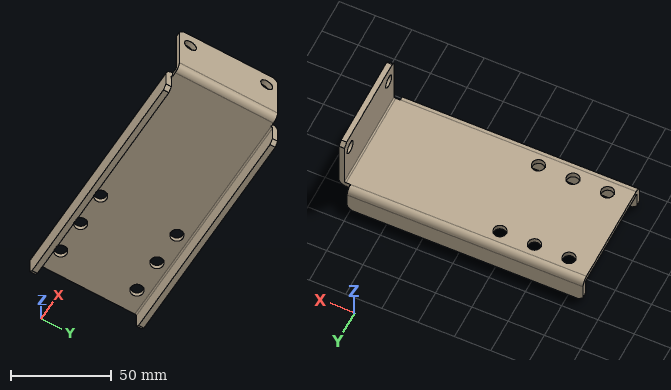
import cadquery as cq

overall_length = 136.53
overall_width = 65.3
overall_height = 47.19

thickness = 3.175
inner_radius = 0.79375
outer_radius = inner_radius + thickness

flange_drop = 15.875
flange_setback = 6.35
flange_length = overall_length - flange_setback
flange_chamfer = 2.38125

tab_width = overall_width - 2 * outer_radius
tab_height = overall_height - flange_drop
tab_chamfer = 2.38125

hole_diameter = 6.91
hole_row_spacing = 44.45
plate_hole_start = 12.7
plate_hole_pitch = 19.05
plate_hole_columns = 3
tab_hole_from_top = 9.525


def make_channel():
    """Inverted U channel with bent shoulders and chamfered flange corners."""
    outer = (
        cq.Workplane("XY")
        .box(flange_length, overall_width, flange_drop, centered=(False, True, False))
        .translate((0, 0, -flange_drop))
        .edges("|X and >Z")
        .fillet(outer_radius)
    )
    cavity = (
        cq.Workplane("XY")
        .box(
            flange_length,
            overall_width - 2 * thickness,
            flange_drop - thickness,
            centered=(False, True, False),
        )
        .translate((0, 0, -flange_drop))
        .edges("|X and >Z")
        .fillet(inner_radius)
    )
    return outer.cut(cavity).edges("|Y and <Z").chamfer(flange_chamfer)


def make_end_tab():
    """Tongue that leaves the plate and bends up into the tab."""
    inner_x = overall_length - thickness
    tab = (
        cq.Workplane("XZ")
        .moveTo(flange_length, 0)
        .lineTo(inner_x - inner_radius, 0)
        .radiusArc((inner_x, inner_radius), -inner_radius)
        .lineTo(inner_x, tab_height)
        .lineTo(overall_length, tab_height)
        .lineTo(overall_length, inner_radius)
        .radiusArc((overall_length - outer_radius, -thickness), outer_radius)
        .lineTo(flange_length, -thickness)
        .close()
        .extrude(tab_width / 2, both=True)
    )
    return tab.edges("|X and >Z").chamfer(tab_chamfer)


def drill_plate(body):
    """Two rows of through holes near the open end of the plate."""
    points = []
    for column in range(plate_hole_columns):
        x = plate_hole_start + column * plate_hole_pitch
        for side in (-1, 1):
            points.append((x, side * hole_row_spacing / 2))
    drills = (
        cq.Workplane("XY", origin=(0, 0, -thickness))
        .pushPoints(points)
        .circle(hole_diameter / 2)
        .extrude(thickness)
    )
    return body.cut(drills)


def drill_tab(body):
    """One through hole near each upper corner of the tab."""
    hole_z = tab_height - tab_hole_from_top
    points = [(side * hole_row_spacing / 2, hole_z) for side in (-1, 1)]
    drills = (
        cq.Workplane("YZ", origin=(overall_length - thickness, 0, 0))
        .pushPoints(points)
        .circle(hole_diameter / 2)
        .extrude(thickness)
    )
    return body.cut(drills)


bracket = make_channel().union(make_end_tab())
result = drill_tab(drill_plate(bracket))